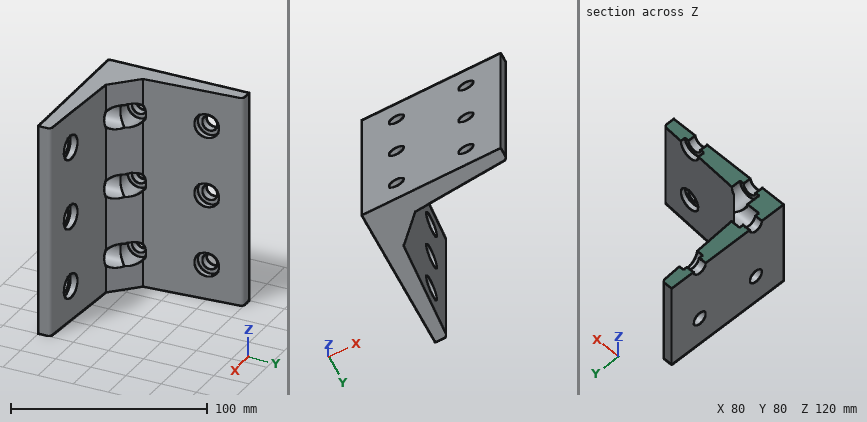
import cadquery as cq

leg_length = 80.0
height = 120.0
tip_thickness = 7.0
root_thickness = 11.0
web_reach = 25.0
tip_radius = 2.0

hole_diameter = 8.5
spotface_diameter = 13.5
seat_thickness = 5.0
hole_pitch = 40.0
hole_edge = 20.0
holes_along_leg = 2
holes_along_height = 3


def make_body():
    """Tapered L profile with a diagonal corner web and rounded inner tips."""
    outline = [
        (0, 0),
        (leg_length, 0),
        (leg_length, tip_thickness),
        (web_reach, root_thickness),
        (root_thickness, web_reach),
        (tip_thickness, leg_length),
        (0, leg_length),
    ]
    body = cq.Workplane("XY").polyline(outline).close().extrude(height)
    for tip in [(leg_length, tip_thickness), (tip_thickness, leg_length)]:
        nearest_tip = cq.NearestToPointSelector((*tip, height / 2))
        body = body.edges("|Z").edges(nearest_tip).fillet(tip_radius)
    return body


def leg_cylinder(diameter, first_height, along, z, leg_normal):
    """Cylinder square to one leg, starting first_height above its outer face and running clear of the body."""
    if leg_normal == "Y":
        start = cq.Vector(along, first_height, z)
        direction = cq.Vector(0, 1, 0)
    else:
        start = cq.Vector(first_height, along, z)
        direction = cq.Vector(1, 0, 0)
    return cq.Workplane(cq.Solid.makeCylinder(diameter / 2, leg_length, start, direction))


def cut_holes(body):
    """Same grid of through holes in both legs, spotfaced on the inner side."""
    for leg_normal in ("X", "Y"):
        for row in range(holes_along_height):
            z = hole_edge + row * hole_pitch
            for column in range(holes_along_leg):
                along = hole_edge + column * hole_pitch
                body = body.cut(leg_cylinder(hole_diameter, 0, along, z, leg_normal))
                body = body.cut(leg_cylinder(spotface_diameter, seat_thickness, along, z, leg_normal))
    return body


result = cut_holes(make_body())